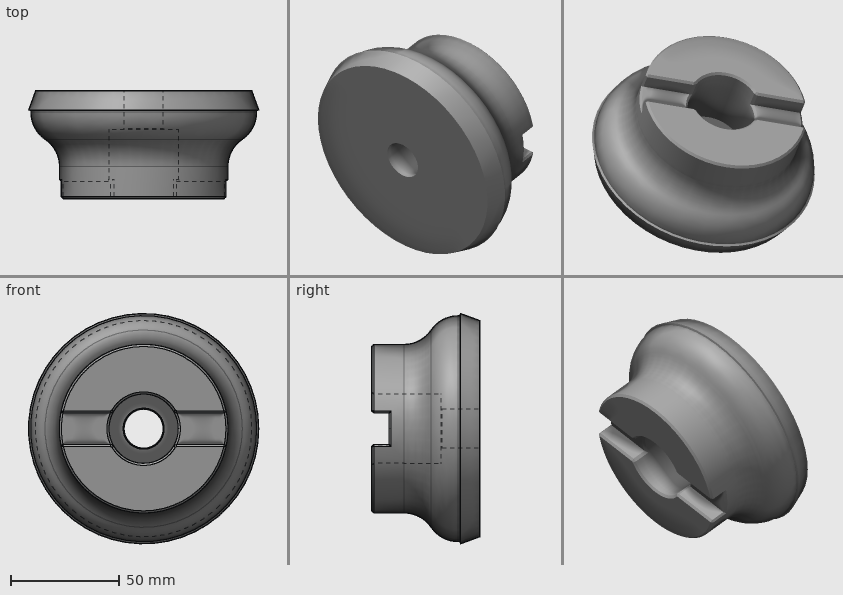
import cadquery as cq
import math

LENGTH = 50.0
EDGE_CHAMFER = 1.0

HUB_RADIUS = 39.0
FLARE_START = 15.0
FLARE_LENGTH = 25.0

RIM_RADIUS = 53.245
BACK_RADIUS = 50.0
RIM_OVERHANG = 1.0
RIM_CONE_ANGLE = 20.0

BORE_RADIUS = 16.0
BORE_DEPTH = 32.0
HOLE_RADIUS = 9.0
HOLE_CHAMFER = 0.5

SLOT_WIDTH = 14.4
SLOT_DEPTH = 8.0
FLOOR_MARGIN = 0.1

FLARE_RADIUS = RIM_RADIUS - RIM_OVERHANG
FLARE_MIDDLE_RADIUS = (HUB_RADIUS + FLARE_RADIUS) / 2
FLARE_MIDDLE = FLARE_START + FLARE_LENGTH / 2
FLARE_END = FLARE_START + FLARE_LENGTH

RIM_SLOPE = math.tan(math.radians(RIM_CONE_ANGLE))
RIM_EDGE = LENGTH - (RIM_RADIUS - BACK_RADIUS) / RIM_SLOPE
RIM_ROOT = RIM_EDGE - RIM_OVERHANG * RIM_SLOPE


def turned_body():
    """Solid of revolution with sharp edges at the drive face."""
    profile = (
        cq.Workplane("XY")
        .moveTo(BORE_RADIUS, 0)
        .lineTo(HUB_RADIUS, 0)
        .lineTo(HUB_RADIUS, FLARE_START)
        .tangentArcPoint((FLARE_MIDDLE_RADIUS, FLARE_MIDDLE), relative=False)
        .tangentArcPoint((FLARE_RADIUS, FLARE_END), relative=False)
        .lineTo(FLARE_RADIUS, RIM_ROOT)
        .lineTo(RIM_RADIUS, RIM_EDGE)
        .lineTo(BACK_RADIUS, LENGTH)
        .lineTo(HOLE_RADIUS, LENGTH)
        .lineTo(HOLE_RADIUS, BORE_DEPTH + HOLE_CHAMFER)
        .lineTo(HOLE_RADIUS + HOLE_CHAMFER, BORE_DEPTH)
        .lineTo(BORE_RADIUS, BORE_DEPTH)
        .close()
    )
    return profile.revolve(360, (0, 0), (0, 1))


def drive_slot():
    """Rectangular cutter for the slot across the drive face."""
    return cq.Workplane("XY").box(
        2 * RIM_RADIUS, SLOT_DEPTH, SLOT_WIDTH, centered=(True, False, True)
    )


def chamfer_drive_end(body):
    """Chamfer every outer edge of the drive face, slot floor and slot walls."""
    face_edges = body.faces("<Y").edges()
    wall_end_edges = body.edges("|Y").edges(
        cq.selectors.BoxSelector(
            (-RIM_RADIUS, 0, -SLOT_WIDTH),
            (RIM_RADIUS, SLOT_DEPTH, SLOT_WIDTH),
        )
    )
    floor_end_edges = body.faces(
        cq.selectors.BoxSelector(
            (-RIM_RADIUS, SLOT_DEPTH - FLOOR_MARGIN, -SLOT_WIDTH),
            (RIM_RADIUS, SLOT_DEPTH + FLOOR_MARGIN, SLOT_WIDTH),
        )
    ).edges("%CIRCLE")
    return face_edges.add(wall_end_edges).add(floor_end_edges).chamfer(EDGE_CHAMFER)


slotted_body = turned_body().cut(drive_slot())
result = chamfer_drive_end(slotted_body)